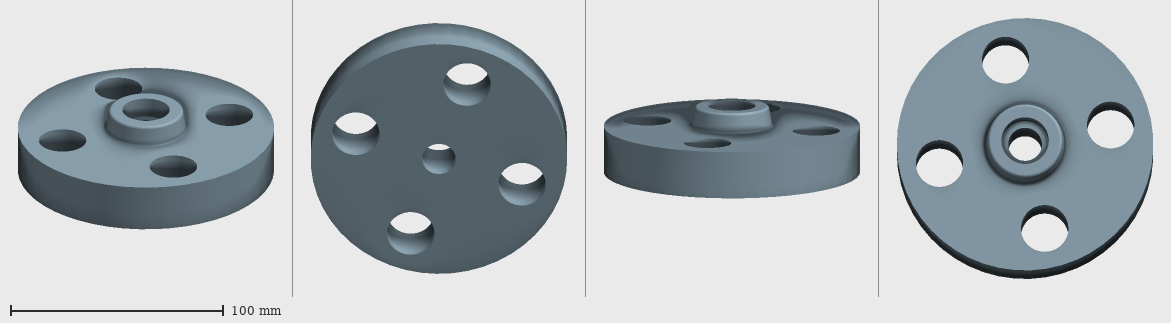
import cadquery as cq
import math

flange_diameter = 120.6
total_height = 31.7
flange_thickness = 22.2

hub_base_diameter = 38.1
hub_draft_angle = 10.0
hub_fillet = 1.5

bore_diameter = 15.8
socket_diameter = 22.3
socket_depth = 9.5

bolt_hole_diameter = 22.3
bolt_circle_diameter = 82.5
bolt_hole_count = 4

hub_height = total_height - flange_thickness
hub_top_diameter = hub_base_diameter - 2 * hub_height * math.tan(math.radians(hub_draft_angle))


def flange_body():
    """Revolve the disc and its tapered hub as one solid."""
    return (
        cq.Workplane("XZ")
        .lineTo(flange_diameter / 2, 0)
        .lineTo(flange_diameter / 2, flange_thickness)
        .lineTo(hub_base_diameter / 2, flange_thickness)
        .lineTo(hub_top_diameter / 2, total_height)
        .lineTo(0, total_height)
        .close()
        .revolve(360, (0, 0, 0), (0, 1, 0))
    )


def circle_selector(diameter, height):
    """Select the circular edge of the given diameter at the given height."""
    margin = 0.1
    radius = diameter / 2 + margin
    return cq.selectors.BoxSelector(
        (-radius, -radius, height - margin),
        (radius, radius, height + margin),
        boundingbox=True,
    )


def round_hub(body):
    """Round the rim of the hub and blend its foot into the disc."""
    rim = circle_selector(hub_top_diameter, total_height)
    foot = circle_selector(hub_base_diameter, flange_thickness)
    return body.edges(rim + foot).fillet(hub_fillet)


def cut_socket_and_bore(body):
    """Cut the pipe socket from the hub end and the bore through the flange."""
    return (
        body.faces(">Z")
        .workplane(origin=(0, 0, 0))
        .cboreHole(bore_diameter, socket_diameter, socket_depth)
    )


def cut_bolt_holes(body):
    """Cut the through holes on the bolt circle."""
    holes = (
        cq.Workplane("XY")
        .polarArray(bolt_circle_diameter / 2, 0, 360, bolt_hole_count)
        .circle(bolt_hole_diameter / 2)
        .extrude(flange_thickness)
    )
    return body.cut(holes)


rounded_body = round_hub(flange_body())
bored_body = cut_socket_and_bore(rounded_body)
result = cut_bolt_holes(bored_body)